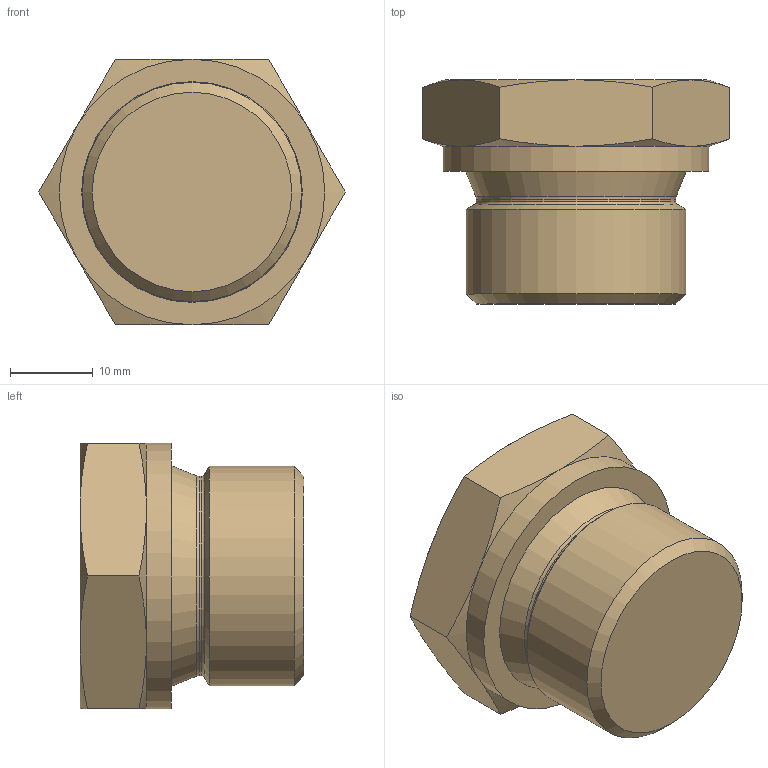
import cadquery as cq
import math


hexagon_sides = 6
across_flats = 32.0
across_corners = across_flats / math.cos(math.pi / hexagon_sides)
head_height = 8.0
head_chamfer_angle = 20.0

flange_diameter = across_flats
flange_thickness = 3.0

plug_diameter = 26.44
overall_length = 27.0
end_chamfer = 1.2

cone_start_diameter = 26.6
cone_length = 3.0
cone_angle = 22.0
groove_diameter = 24.0
groove_wall_angle = 60.0
groove_end_depth = 15.57
cone_root_radius = 1.2
wall_root_radius = 0.4

flange_face_depth = head_height + flange_thickness
corner_radius = across_corners / 2
flat_radius = across_flats / 2
plug_radius = plug_diameter / 2
groove_radius = groove_diameter / 2


def revolve_about_y(profile):
    """Turn a closed (radius, Y) profile, drawn on the -X side, about the Y axis."""
    return profile.close().revolve(360, (0, 0, 0), (0, 1, 0))


def make_head():
    """Hexagon with corners on +X and -X, both ends turned down to the inscribed circle."""
    hexagon = cq.Workplane("XZ").polygon(hexagon_sides, across_corners).extrude(head_height)
    corner_drop = (corner_radius - flat_radius) * math.tan(math.radians(head_chamfer_angle))
    turned_envelope = revolve_about_y(
        cq.Workplane("XY")
        .moveTo(0, 0)
        .lineTo(-flat_radius, 0)
        .lineTo(-corner_radius, -corner_drop)
        .lineTo(-corner_radius, -head_height + corner_drop)
        .lineTo(-flat_radius, -head_height)
        .lineTo(0, -head_height)
    )
    return hexagon.intersect(turned_envelope)


def make_flange():
    return (
        cq.Workplane("XZ", origin=(0, -head_height, 0))
        .circle(flange_diameter / 2)
        .extrude(flange_thickness)
    )


def root_point(depth_at_floor, direction, radius, angle):
    """Point on a root arc that has turned by angle away from the groove floor.

    The direction is 1 toward the plug end and -1 toward the head.
    """
    turn = math.radians(angle)
    depth = depth_at_floor + direction * radius * math.sin(turn)
    return (-(groove_radius + radius * (1 - math.cos(turn))), -depth)


def make_plug():
    """Cone, undercut with rounded roots, cylinder and end chamfer in one profile."""
    cone_end_depth = flange_face_depth + cone_length
    floor_start = cone_end_depth + cone_root_radius * math.sin(math.radians(cone_angle))

    wall_turn = math.radians(groove_wall_angle)
    wall_rise = plug_radius - groove_radius - wall_root_radius * (1 - math.cos(wall_turn))
    wall_length = wall_rise / math.tan(wall_turn)
    floor_end = groove_end_depth - wall_length - wall_root_radius * math.sin(wall_turn)

    return revolve_about_y(
        cq.Workplane("XY")
        .moveTo(0, -flange_face_depth)
        .lineTo(-cone_start_diameter / 2, -flange_face_depth)
        .lineTo(*root_point(floor_start, -1, cone_root_radius, cone_angle))
        .threePointArc(
            root_point(floor_start, -1, cone_root_radius, cone_angle / 2),
            (-groove_radius, -floor_start),
        )
        .lineTo(-groove_radius, -floor_end)
        .threePointArc(
            root_point(floor_end, 1, wall_root_radius, groove_wall_angle / 2),
            root_point(floor_end, 1, wall_root_radius, groove_wall_angle),
        )
        .lineTo(-plug_radius, -groove_end_depth)
        .lineTo(-plug_radius, -overall_length + end_chamfer)
        .lineTo(-plug_radius + end_chamfer, -overall_length)
        .lineTo(0, -overall_length)
    )


result = make_head().union(make_flange()).union(make_plug())